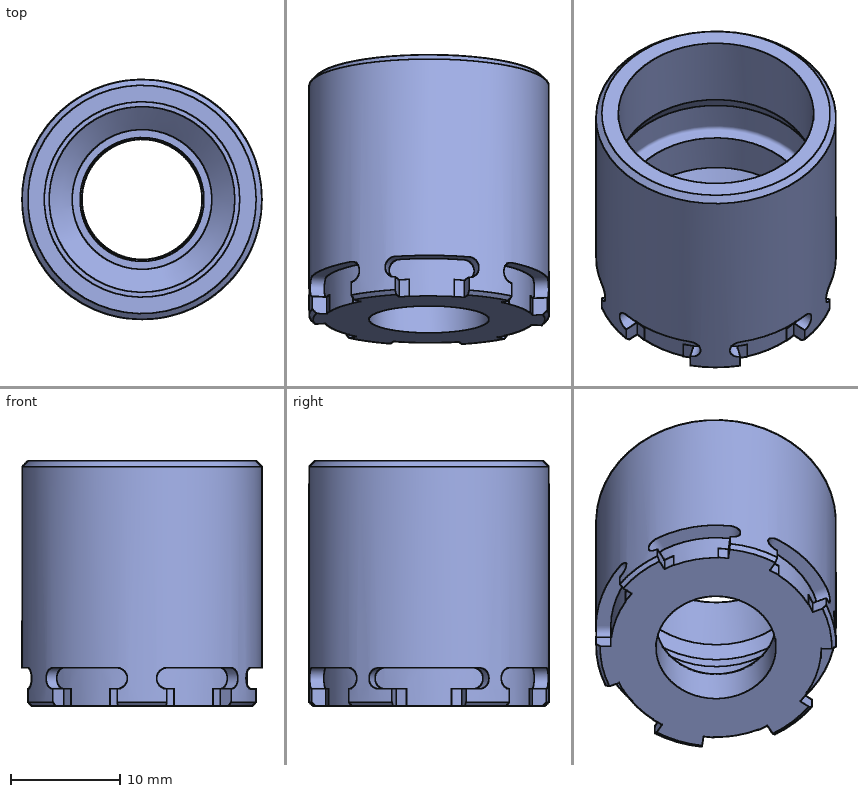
import cadquery as cq
import math

height = 22.5
outer_radius = 22.0 / 2
outer_chamfer_top = 0.55
outer_chamfer_bottom = 0.38

mouth_radius = 17.9 / 2
mouth_depth = 7.42
recess_radius = 19.3 / 2
recess_taper_end = 8.9
recess_depth = 12.0
recess_fillet = 0.38
seat_radius = 17.0 / 2
funnel_radius = 12.8 / 2
funnel_height = seat_radius - funnel_radius
web_thickness = 4.5
bore_radius = 11.0 / 2
bore_chamfer = 0.18

slot_count = 6
slot_floor_radius = 19.3 / 2
slot_half_angle = 18.0
long_undercut_half_angle = 25.0
slot_top = 3.5
end_hole_diameter = 1.91
end_hole_radius = end_hole_diameter / 2
ledge_height = slot_top - end_hole_diameter
cut_reach = outer_radius + 1.12


def make_sleeve():
    """Revolve the wall section, from the bore up the inside and down the outside."""
    recess_floor = height - recess_depth
    arc_inset = recess_fillet * (1 - math.sqrt(0.5))
    fillet_middle = (recess_radius - arc_inset, recess_floor + arc_inset)
    fillet_end = (recess_radius, recess_floor + recess_fillet)
    return (
        cq.Workplane("XZ")
        .moveTo(bore_radius, 0)
        .lineTo(bore_radius, web_thickness - bore_chamfer)
        .lineTo(bore_radius + bore_chamfer, web_thickness)
        .lineTo(funnel_radius, web_thickness)
        .lineTo(seat_radius, web_thickness + funnel_height)
        .lineTo(seat_radius, recess_floor)
        .lineTo(recess_radius - recess_fillet, recess_floor)
        .threePointArc(fillet_middle, fillet_end)
        .lineTo(recess_radius, height - recess_taper_end)
        .lineTo(mouth_radius, height - mouth_depth)
        .lineTo(mouth_radius, height)
        .lineTo(outer_radius - outer_chamfer_top, height)
        .lineTo(outer_radius, height - outer_chamfer_top)
        .lineTo(outer_radius, outer_chamfer_bottom)
        .lineTo(outer_radius - outer_chamfer_bottom, 0)
        .close()
        .revolve(360, (0, 0, 0), (0, 1, 0))
    )


def make_wedge(half_angle, bottom, top):
    """Ring sector centered on +X, reaching outward from the slot floor."""
    side_y = cut_reach * math.tan(math.radians(half_angle))
    wedge = (
        cq.Workplane("XY", origin=(0, 0, bottom))
        .polyline([(0, 0), (cut_reach, side_y), (cut_reach, -side_y)])
        .close()
        .extrude(top - bottom)
    )
    core = cq.Workplane("XY", origin=(0, 0, bottom)).circle(slot_floor_radius).extrude(top - bottom)
    return wedge.cut(core)


def make_slot_cutter(undercut_half_angle):
    """Cutter for a slot centered on +X: an entry from below and an undercut with round ends."""
    entry = make_wedge(slot_half_angle, 0, ledge_height)
    undercut = make_wedge(undercut_half_angle, ledge_height, slot_top)
    for side in (-1, 1):
        pad = (
            cq.Workplane("XY")
            .box(slot_floor_radius, end_hole_diameter, ledge_height, centered=(False, True, False))
            .rotate((0, 0, 0), (0, 0, 1), side * slot_half_angle)
        )
        end_hole = (
            cq.Workplane("YZ", origin=(slot_floor_radius, 0, 0))
            .center(0, ledge_height + end_hole_radius)
            .circle(end_hole_radius)
            .extrude(cut_reach - slot_floor_radius)
            .rotate((0, 0, 0), (0, 0, 1), side * undercut_half_angle)
        )
        entry = entry.cut(pad)
        undercut = undercut.union(end_hole)
    return entry.union(undercut)


result = make_sleeve().cut(make_slot_cutter(long_undercut_half_angle))
slot_cutter = make_slot_cutter(slot_half_angle)
for index in range(1, slot_count):
    result = result.cut(slot_cutter.rotate((0, 0, 0), (0, 0, 1), index * 360 / slot_count))